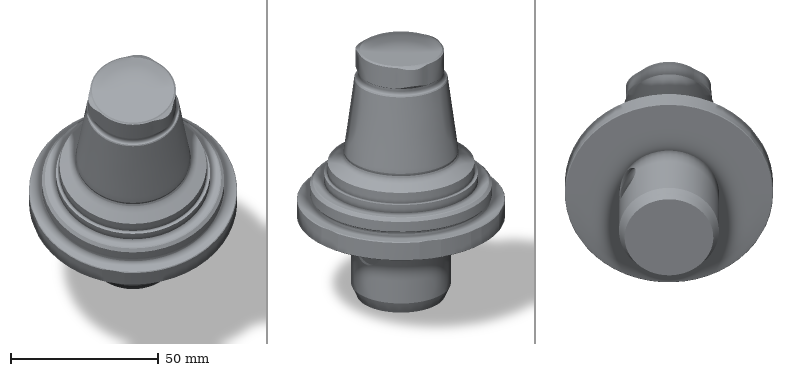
import cadquery as cq
import math

SHANK_R = 17.0
SHANK_TIP_R = 15.1
SHANK_CHAMFER_Z = 4.3
SPOT_D = 12
SPOT_Z = 22.6
SPOT_FLOOR_X = 15.8

FLANGE_R = 35.4
FLANGE_Z0 = 29.0
FLANGE_Z1 = 36.0
FLANGE_CHAMFER = 0.3
WIDE_FLAT_HALF = 3.9
NARROW_FLAT_HALF = 2.6
WIDE_FLAT_ANGLES = (120, 180, 240, 300)
NARROW_FLAT_ANGLES = (0, 270)

RING_R = 62.0 / 2
RING_CHAMFER_R = 60.1 / 2
RING_TOP_Z = 42.6
RING_EDGE_BREAK = 0.14
RING_FACE_R = 29.6
RING_UPPER_Z = 41.5
RING_LOWER_Z = 37.8
GROOVE_R = 30.0
GROOVE_MOUTH_R = 30.5
GROOVE_Z0 = 36.6
GROOVE_Z1 = 37.2

STEP_R = 52.4 / 2
STEP_TOP_Z = 45.6
COLLAR_R = 50.0 / 2
COLLAR_TOP_Z = 49.6
COLLAR_CONE_TOP_R = 19.8
TAPER_NECK_R = 19.3
TAPER_NECK_Z0 = 52.7
TAPER_NECK_Z1 = 53.3
TAPER_BASE_R = 19.5
TAPER_BASE_Z = 54.2
TAPER_TOP_R = 15.9
TAPER_TOP_Z = 81.2
SHOULDER_R = 15.6
SHOULDER_Z = 81.6

NECK_R = 14.4
NECK_Z = SHOULDER_Z + SHOULDER_R - NECK_R
HEAD_R = 14.6
HEAD_Z0 = 83.7
HEIGHT = 92
TOP_FACE_R = 14.0
LOBE_TIP_R = 15.78
LOBE_EDGE_R = 15.3
LOBE_ROOT_ANGLE = 22
LOBE_EDGE_ANGLE = 12
LOBE_COUNT = 3
TOP_BEVEL_R = 14.35
TOP_BEVEL_Z = 91.7
LOBE_TOP_SLOPE = 0.4


def polar(radius, degrees):
    angle = math.radians(degrees)
    return radius * math.cos(angle), radius * math.sin(angle)


def turned_body():
    """Everything from the shank tip to the underside of the head."""
    flare = SHOULDER_R - NECK_R
    flare_mid = (
        SHOULDER_R - flare * math.sin(math.pi / 4),
        NECK_Z - flare * math.sin(math.pi / 4),
    )
    return (
        cq.Workplane("XZ")
        .moveTo(0, 0)
        .lineTo(SHANK_TIP_R, 0)
        .lineTo(SHANK_R, SHANK_CHAMFER_Z)
        .lineTo(SHANK_R, FLANGE_Z0)
        .lineTo(GROOVE_MOUTH_R, FLANGE_Z0)
        .lineTo(GROOVE_MOUTH_R, FLANGE_Z1)
        .lineTo(GROOVE_R, GROOVE_Z0)
        .lineTo(GROOVE_R, GROOVE_Z1)
        .lineTo(RING_R, RING_LOWER_Z)
        .lineTo(RING_R, RING_UPPER_Z)
        .lineTo(RING_CHAMFER_R, RING_TOP_Z - RING_EDGE_BREAK)
        .lineTo(RING_FACE_R, RING_TOP_Z)
        .lineTo(STEP_R, RING_TOP_Z)
        .lineTo(STEP_R, STEP_TOP_Z)
        .lineTo(COLLAR_R, STEP_TOP_Z)
        .lineTo(COLLAR_R, COLLAR_TOP_Z)
        .lineTo(COLLAR_CONE_TOP_R, TAPER_NECK_Z0)
        .lineTo(TAPER_NECK_R, TAPER_NECK_Z1)
        .lineTo(TAPER_BASE_R, TAPER_BASE_Z)
        .lineTo(TAPER_TOP_R, TAPER_TOP_Z)
        .lineTo(SHOULDER_R, SHOULDER_Z)
        .threePointArc(flare_mid, (NECK_R, NECK_Z))
        .lineTo(NECK_R, HEAD_Z0)
        .lineTo(0, HEAD_Z0)
        .close()
        .revolve(360, (0, 0), (0, 1))
    )


def flange():
    disc = (
        cq.Workplane("XY", origin=(0, 0, FLANGE_Z0))
        .circle(FLANGE_R)
        .extrude(FLANGE_Z1 - FLANGE_Z0)
        .edges()
        .chamfer(FLANGE_CHAMFER)
    )
    flats = [(angle, WIDE_FLAT_HALF) for angle in WIDE_FLAT_ANGLES]
    flats += [(angle, NARROW_FLAT_HALF) for angle in NARROW_FLAT_ANGLES]
    for angle, half_width in flats:
        flat_distance = math.sqrt(FLANGE_R**2 - half_width**2)
        cutter = (
            cq.Workplane("XY")
            .box(FLANGE_R, FLANGE_R, HEIGHT, centered=(False, True, False))
            .translate((flat_distance, 0, 0))
            .rotate((0, 0, 0), (0, 0, 1), angle)
        )
        disc = disc.cut(cutter)
    return disc


def head():
    """Lobed prism, bevelled above and below by cones about the axis."""
    pitch = 360 / LOBE_COUNT
    outline = cq.Workplane("XY", origin=(0, 0, NECK_Z)).moveTo(*polar(HEAD_R, -LOBE_ROOT_ANGLE))
    for index in range(LOBE_COUNT):
        center = index * pitch
        outline = (
            outline.lineTo(*polar(LOBE_EDGE_R, center - LOBE_EDGE_ANGLE))
            .threePointArc(polar(LOBE_TIP_R, center), polar(LOBE_EDGE_R, center + LOBE_EDGE_ANGLE))
            .lineTo(*polar(HEAD_R, center + LOBE_ROOT_ANGLE))
            .threePointArc(
                polar(HEAD_R, center + pitch / 2),
                polar(HEAD_R, center + pitch - LOBE_ROOT_ANGLE),
            )
        )
    prism = outline.close().extrude(HEIGHT - NECK_Z)

    rim_r = LOBE_TIP_R + 0.9
    envelope = (
        cq.Workplane("XZ")
        .moveTo(0, HEAD_Z0)
        .lineTo(NECK_R, HEAD_Z0)
        .lineTo(rim_r, HEAD_Z0 + rim_r - NECK_R)
        .lineTo(rim_r, TOP_BEVEL_Z - LOBE_TOP_SLOPE * (rim_r - TOP_BEVEL_R))
        .lineTo(TOP_BEVEL_R, TOP_BEVEL_Z)
        .lineTo(TOP_FACE_R, HEIGHT)
        .lineTo(0, HEIGHT)
        .close()
        .revolve(360, (0, 0), (0, 1))
    )
    return prism.intersect(envelope)


def shank_spot(side):
    """Cutter for a flat-bottomed round spot on the +X (1) or -X (-1) side."""
    return (
        cq.Workplane("YZ", origin=(side * SPOT_FLOOR_X, 0, SPOT_Z))
        .circle(SPOT_D / 2)
        .extrude(side * (SHANK_R - SPOT_FLOOR_X))
    )


result = turned_body().union(flange()).union(head())
for spot_side in (-1, 1):
    result = result.cut(shank_spot(spot_side))